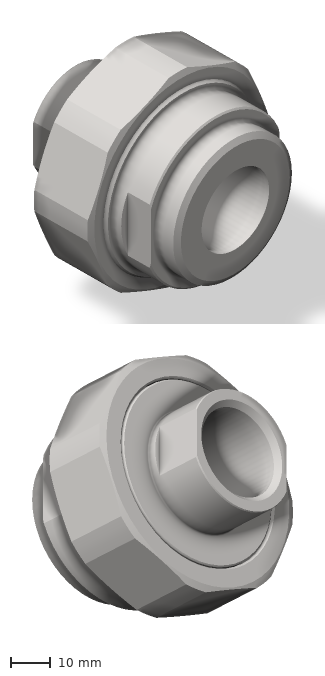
import cadquery as cq
import math


total_length = 56.0
bore_radius = 24.1 / 2

nut_start = 16.55
nut_end = 36.55
nut_corner_radius = 32.35
nut_across_flats = 61.95
nut_sides = 8
nut_face_radius = 30.5
nut_chamfer_length = 0.65
nut_lip_radius = 50.5 / 2
nut_lip_length = 4.5
nut_mouth_chamfer = 0.5
thread_radius = 54.4 / 2

stub_radius = 33.0 / 2
stub_end_chamfer_length = 0.4
stub_end_chamfer_height = 0.2
stub_root_fillet = 0.4
stub_flat_length = 14.0
stub_across_flats = 30.0
bore_mouth_radius = 13.5
bore_mouth_depth = 1.5
neck_radius = 50.0 / 2
neck_chamfer = 0.4
flange_radius = 54.0 / 2
flange_start = nut_start + nut_lip_length
flange_end = flange_start + 4.5

thread_end = 37.5
thread_chamfer_length = thread_end - nut_end
thread_chamfer_height = 0.6
barrel_radius = 50.0 / 2
barrel_end = 48.95
barrel_chamfer_length = 0.4
barrel_chamfer_height = 0.5
barrel_across_flats = 46.05
flat_wall_start = 40.55
flat_wall_end = 41.0
spigot_radius = 42.4 / 2
spigot_chamfer_length = 1.0
spigot_chamfer_height = 1.75
step_fillet = 0.8


def root_fillet(profile, face_x, radius, fillet, toward):
    """Add a concave quarter arc between a cylinder and the end face it meets.

    toward is +1 when the cylinder runs to +X from the face, -1 when it runs to -X.
    """
    offset = fillet * (1 - math.sqrt(0.5))
    middle = (face_x + toward * offset, radius + offset)
    on_cylinder = (face_x + toward * fillet, radius)
    on_face = (face_x, radius + fillet)
    if toward > 0:
        return profile.lineTo(*on_face).threePointArc(middle, on_cylinder)
    return profile.lineTo(*on_cylinder).threePointArc(middle, on_face)


def revolve_about_x(profile):
    return profile.close().revolve(360, (0, 0, 0), (1, 0, 0))


def cut_side_flats(solid, outline):
    """Remove an XY outline, and its mirror image across the XZ plane, through all Z."""
    cutter = (
        cq.Workplane("XY")
        .polyline(outline)
        .close()
        .extrude(nut_corner_radius, both=True)
    )
    return solid.cut(cutter).cut(cutter.mirror("XZ"))


def make_tailpiece():
    profile = (
        cq.Workplane("XY")
        .moveTo(bore_mouth_depth, bore_radius)
        .lineTo(0, bore_mouth_radius)
        .lineTo(0, stub_radius - stub_end_chamfer_height)
        .lineTo(stub_end_chamfer_length, stub_radius)
    )
    profile = root_fillet(profile, nut_start, stub_radius, stub_root_fillet, -1)
    profile = (
        profile.lineTo(nut_start, neck_radius - neck_chamfer)
        .lineTo(nut_start + neck_chamfer, neck_radius)
        .lineTo(flange_start, neck_radius)
        .lineTo(flange_start, flange_radius)
        .lineTo(flange_end, flange_radius)
        .lineTo(flange_end, bore_radius)
    )
    flat = stub_across_flats / 2
    outline = [
        (0, flat),
        (stub_flat_length, flat),
        (stub_flat_length, stub_radius),
        (0, stub_radius),
    ]
    return cut_side_flats(revolve_about_x(profile), outline)


def make_nut():
    corner_diameter = nut_across_flats / math.cos(math.pi / nut_sides)
    prism = (
        cq.Workplane("YZ", origin=(nut_start, 0, 0))
        .polygon(nut_sides, corner_diameter)
        .extrude(nut_end - nut_start)
    )
    envelope = revolve_about_x(
        cq.Workplane("XY")
        .moveTo(nut_start, nut_lip_radius + nut_mouth_chamfer)
        .lineTo(nut_start, nut_face_radius)
        .lineTo(nut_start + nut_chamfer_length, nut_corner_radius)
        .lineTo(nut_end - nut_chamfer_length, nut_corner_radius)
        .lineTo(nut_end, nut_face_radius)
        .lineTo(nut_end, thread_radius)
        .lineTo(flange_start, thread_radius)
        .lineTo(flange_start, nut_lip_radius)
        .lineTo(nut_start + nut_mouth_chamfer, nut_lip_radius)
    )
    return prism.intersect(envelope)


def make_body():
    profile = (
        cq.Workplane("XY")
        .moveTo(flange_end, bore_radius)
        .lineTo(flange_end, thread_radius)
        .lineTo(thread_end - thread_chamfer_length, thread_radius)
        .lineTo(thread_end, thread_radius - thread_chamfer_height)
    )
    profile = root_fillet(profile, thread_end, barrel_radius, step_fillet, 1)
    profile = (
        profile.lineTo(barrel_end - barrel_chamfer_length, barrel_radius)
        .lineTo(barrel_end, barrel_radius - barrel_chamfer_height)
    )
    profile = root_fillet(profile, barrel_end, spigot_radius, step_fillet, 1)
    profile = (
        profile.lineTo(total_length - spigot_chamfer_length, spigot_radius)
        .lineTo(total_length, spigot_radius - spigot_chamfer_height)
        .lineTo(total_length, bore_radius)
    )
    flat = barrel_across_flats / 2
    outline = [
        (flat_wall_end, flat),
        (barrel_end, flat),
        (barrel_end, barrel_radius),
        (flat_wall_start, barrel_radius),
    ]
    return cut_side_flats(revolve_about_x(profile), outline)


tailpiece = make_tailpiece()
nut = make_nut()
body = make_body()

result = cq.Compound.makeCompound([tailpiece.val(), nut.val(), body.val()])